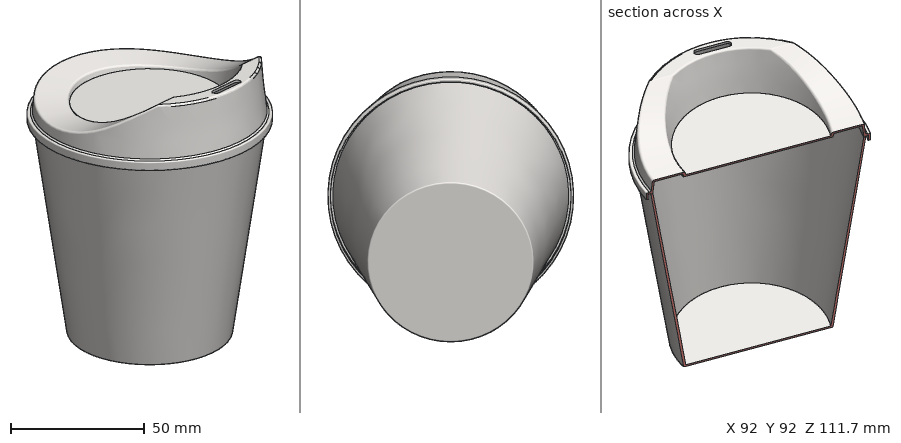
import cadquery as cq

TOTAL_HEIGHT = 111.7
WALL = 1.0

FLANGE_RADIUS = 92.0 / 2
FLANGE_INNER_RADIUS = 90.0 / 2
FLANGE_BOTTOM = 86.7
FLANGE_TOP = 90.2
FLANGE_FILLET = 0.5
LID_BASE_RADIUS = 44.1
LID_TOP_RADIUS = 41.8
FLANGE_COVE = 0.6

RIM_HEIGHT = FLANGE_TOP - WALL

CUP_BASE_RADIUS = 31.1
CUP_RIM_RADIUS = 44.1
CUP_BASE_FILLET = 0.6

SCOOP_START = (-43.1, 98.5)
SCOOP_LOW = (-14.5, 95.1)
SCOOP_RISE = (6.7, 98.5)
LEDGE_START = 29.2
SCOOP_START_SLOPE = (1.0, -0.17)
LEDGE_SLOPE = (1.0, 0.72)
EDGE_FILLET = 0.9

RECESS_FLOOR = 94.1
RECESS_FLOOR_RADIUS = 60.0 / 2
RECESS_TOP_RADIUS = 35.0

SLOT_X = 38.0
SLOT_LENGTH = 15.0
SLOT_WIDTH = 2.9

CLEARANCE = 11.2


def cone(bottom_radius, top_radius, bottom, top):
    """Solid frustum about the Z axis."""
    profile = [(0, bottom), (bottom_radius, bottom), (top_radius, top), (0, top)]
    return cq.Workplane("XZ").polyline(profile).close().revolve(360, (0, 0), (0, 1))


def disc(radius, bottom, top):
    return cone(radius, radius, bottom, top)


def below_scoop():
    """Block bounded above by the scoop and the ledge."""
    reach = FLANGE_RADIUS + CLEARANCE
    slope_x, slope_z = SCOOP_START_SLOPE
    edge_z = SCOOP_START[1] - (reach + SCOOP_START[0]) * slope_z / slope_x
    return (
        cq.Workplane("XZ")
        .moveTo(-reach, 0)
        .lineTo(-reach, edge_z)
        .lineTo(*SCOOP_START)
        .spline(
            [SCOOP_LOW, SCOOP_RISE, (LEDGE_START, TOTAL_HEIGHT)],
            tangents=[SCOOP_START_SLOPE, LEDGE_SLOPE],
            includeCurrent=True,
        )
        .lineTo(reach, TOTAL_HEIGHT)
        .lineTo(reach, 0)
        .close()
        .extrude(2 * reach)
        .translate((0, reach, 0))
    )


def make_cup():
    """Open tapered cup with a wall and floor of equal thickness."""
    outer = cone(CUP_BASE_RADIUS, CUP_RIM_RADIUS, 0, RIM_HEIGHT)
    outer = outer.faces("<Z").edges().fillet(CUP_BASE_FILLET)
    inner = cone(CUP_BASE_RADIUS - WALL, CUP_RIM_RADIUS - WALL, WALL, RIM_HEIGHT)
    return outer.cut(inner)


def lid_crown():
    """Hollow scooped crown, with its recess, rising from the flange."""
    scoop = below_scoop()
    recess = cone(RECESS_FLOOR_RADIUS, RECESS_TOP_RADIUS, RECESS_FLOOR, TOTAL_HEIGHT)
    outer = cone(LID_BASE_RADIUS, LID_TOP_RADIUS, RIM_HEIGHT, TOTAL_HEIGHT)
    outer = outer.intersect(scoop).cut(recess)

    top_edges = outer.faces(">Z").edges()
    scoop_edges = outer.faces(cq.selectors.BoxSelector(
        (-FLANGE_RADIUS, -FLANGE_RADIUS, RECESS_FLOOR + EDGE_FILLET / 2),
        (LEDGE_START, FLANGE_RADIUS, TOTAL_HEIGHT),
    )).faces("not %CONE").edges()
    outer = outer.newObject(top_edges.vals() + scoop_edges.vals()).fillet(EDGE_FILLET)

    recess_shell = cone(
        RECESS_FLOOR_RADIUS + WALL, RECESS_TOP_RADIUS + WALL, RECESS_FLOOR - WALL, TOTAL_HEIGHT
    )
    cavity = cone(LID_BASE_RADIUS - WALL, LID_TOP_RADIUS - WALL, RIM_HEIGHT, TOTAL_HEIGHT)
    cavity = cavity.intersect(scoop.translate((0, 0, -WALL))).cut(recess_shell)
    return outer.cut(cavity)


def lid_flange():
    """Ring with a downturned skirt over the cup rim and a sloped step up to the crown wall."""
    ring = disc(FLANGE_RADIUS, FLANGE_BOTTOM, FLANGE_TOP).edges().fillet(FLANGE_FILLET)
    skirt_space = disc(FLANGE_INNER_RADIUS, FLANGE_BOTTOM, RIM_HEIGHT)
    wall_slope = (LID_BASE_RADIUS - LID_TOP_RADIUS) / (TOTAL_HEIGHT - RIM_HEIGHT)
    cove_top = FLANGE_TOP + FLANGE_COVE
    wall_radius = LID_BASE_RADIUS - wall_slope * (cove_top - RIM_HEIGHT)
    cove = cone(LID_BASE_RADIUS + FLANGE_COVE, wall_radius, FLANGE_TOP, cove_top)
    ring = ring.union(cove)
    opening = cone(
        LID_BASE_RADIUS - WALL,
        LID_BASE_RADIUS - WALL - wall_slope * (cove_top - RIM_HEIGHT),
        RIM_HEIGHT,
        cove_top,
    )
    return ring.cut(skirt_space).cut(opening)


def drinking_slot():
    """Cutter for the slot through the ledge, long side along Y."""
    return (
        cq.Workplane("XY", origin=(SLOT_X, 0, TOTAL_HEIGHT - CLEARANCE))
        .slot2D(SLOT_LENGTH, SLOT_WIDTH, 90)
        .extrude(2 * CLEARANCE)
    )


def make_lid():
    return lid_crown().union(lid_flange()).cut(drinking_slot()).solids()


cup = make_cup()
lid = make_lid()
result = cq.Compound.makeCompound([cup.val(), lid.val()])